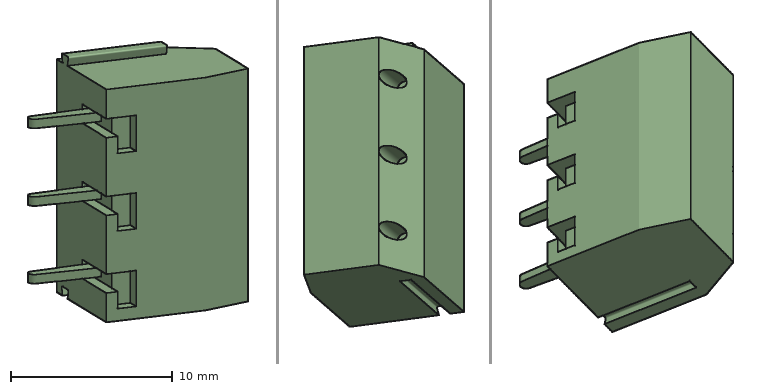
import cadquery as cq
import math


WIDTH = 7.6
DEPTH = 9.98
POLE_COUNT = 3
RIB_HEIGHT = 0.6
TOTAL_HEIGHT = 15.6
HEIGHT = TOTAL_HEIGHT - RIB_HEIGHT
PITCH = HEIGHT / POLE_COUNT
ENTRY_BEVEL_RUN = 1.8
ENTRY_BEVEL_ANGLE = 30.0
ENTRY_BEVEL_LENGTH = ENTRY_BEVEL_RUN / math.tan(math.radians(ENTRY_BEVEL_ANGLE))
REAR_BEVEL_RUN = 0.81
REAR_BEVEL_LENGTH = 3.28

RIB_X = 1.3
RIB_LENGTH = 6.71
RIB_BASE_WIDTH = 0.75
RIB_TOP_WIDTH = 1.05
RIB_ROUNDING = 0.1

WIRE_HOLE_DIAMETER = 1.1
WIRE_HOLE_X = ENTRY_BEVEL_RUN - WIRE_HOLE_DIAMETER / 2
WIRE_HOLE_DEPTH = ENTRY_BEVEL_LENGTH

PIN_X = 4.5
PIN_LENGTH = 3.9
PIN_ROOT_WIDTH = 1.09
PIN_TIP_DIAMETER = 0.81
PIN_THICKNESS = 0.6

POCKET_X = PIN_X - PIN_ROOT_WIDTH / 2
POCKET_DEPTH = 0.78
POCKET_HEIGHT = 1.22

WINDOW_DEPTH = 0.89
WINDOW_LENGTH = 1.25
WINDOW_DROP = 1.09

pole_heights = [PITCH * (index + 0.5) for index in range(POLE_COUNT)]


def box(x_min, x_max, y_min, y_max, z_min, z_max):
    """Box between the given limits."""
    size = (x_max - x_min, y_max - y_min, z_max - z_min)
    return cq.Workplane("XY").box(*size, centered=False).translate((x_min, y_min, z_min))


def make_block():
    """Block with a bevel at each side of its +Y face."""
    outline = [
        (0, 0),
        (WIDTH, 0),
        (WIDTH, DEPTH - REAR_BEVEL_LENGTH),
        (WIDTH - REAR_BEVEL_RUN, DEPTH),
        (ENTRY_BEVEL_RUN, DEPTH),
        (0, DEPTH - ENTRY_BEVEL_LENGTH),
    ]
    return cq.Workplane("XY").polyline(outline).close().extrude(HEIGHT)


def make_rib(base_z):
    """Dovetail rib with rounded top edges, running from the pin face at the height base_z."""
    half_base = RIB_BASE_WIDTH / 2
    half_top = RIB_TOP_WIDTH / 2
    profile = [
        (-half_base, 0),
        (half_base, 0),
        (half_top, RIB_HEIGHT),
        (-half_top, RIB_HEIGHT),
    ]
    rib = cq.Workplane("XZ").polyline(profile).close().extrude(-RIB_LENGTH)
    rib = rib.faces(">Z").edges("|Y").fillet(RIB_ROUNDING)
    return rib.translate((RIB_X, 0, base_z))


def make_wire_hole(height):
    """Round hole along Y, sunk from the +Y face."""
    hole = cq.Workplane("XZ").circle(WIRE_HOLE_DIAMETER / 2).extrude(WIRE_HOLE_DEPTH)
    return hole.translate((WIRE_HOLE_X, DEPTH, height))


def make_pin_pocket(height):
    """Recess around a pin root together with the side window behind it."""
    bottom = height - POCKET_HEIGHT / 2
    top = height + POCKET_HEIGHT / 2
    pocket = box(POCKET_X, WIDTH, 0, POCKET_DEPTH, bottom, top)
    window = box(
        WIDTH - WINDOW_DEPTH, WIDTH,
        POCKET_DEPTH, POCKET_DEPTH + WINDOW_LENGTH,
        bottom - WINDOW_DROP, top,
    )
    return pocket.union(window)


def make_housing():
    """Block with its rib, groove, wire holes and pin pockets."""
    housing = make_block().union(make_rib(HEIGHT)).cut(make_rib(0))
    for height in pole_heights:
        housing = housing.cut(make_wire_hole(height)).cut(make_pin_pocket(height))
    return housing


def make_pin(height):
    """Flat tapered pin with a round tip, seated on the back wall of its pocket."""
    half_root = PIN_ROOT_WIDTH / 2
    tip_radius = PIN_TIP_DIAMETER / 2
    tip_start = -PIN_LENGTH + tip_radius
    pin = (
        cq.Workplane("XY")
        .moveTo(-half_root, POCKET_DEPTH)
        .lineTo(-half_root, 0)
        .lineTo(-tip_radius, tip_start)
        .threePointArc((0, -PIN_LENGTH), (tip_radius, tip_start))
        .lineTo(half_root, 0)
        .lineTo(half_root, POCKET_DEPTH)
        .close()
        .extrude(PIN_THICKNESS)
    )
    return pin.translate((PIN_X, 0, height - PIN_THICKNESS / 2))


housing = make_housing()
pins = [make_pin(height) for height in pole_heights]

result = cq.Compound.makeCompound([housing.val(), *[pin.val() for pin in pins]])